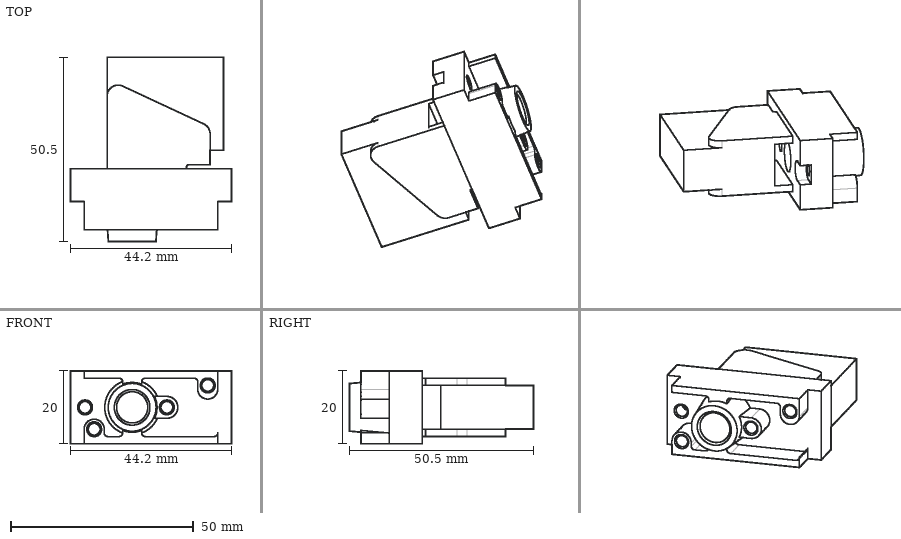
import cadquery as cq
import math


flange_width = 44.2
flange_left = -16.95
flange_right = flange_left + flange_width
flange_center = (flange_left + flange_right) / 2
flange_depth = 9.1
height = 20.0
side_step = 3.8
rim_depth = 7.7
rim_left = flange_left + side_step
rim_right = flange_right - side_step
rim_wall = 2.0
flange_front = -flange_depth
rim_front = flange_front - rim_depth
pocket_half_height = height / 2 - rim_wall
pocket_corner_radius = 1.0

tube_overhang = 3.2
tube_front = rim_front - tube_overhang
tube_length = flange_front - tube_front
tube_tip_radius = 6.55
tube_draft = math.radians(5)
tube_root_radius = tube_tip_radius + tube_length * math.tan(tube_draft)
bore_diameter = 8.57
bore_chamfer = 0.6
rib_width = 5.2

hole_diameter = 3.24
hole_chamfer = 0.4
drill_point_angle = math.radians(118)
blind_hole_depth = 10.0

post_radius = 2.75
post_x_offset = (rim_right - rim_left) / 2 - post_radius
post_hole_z = 6.0
left_post_x = flange_center - post_x_offset
right_post_x = flange_center + post_x_offset
left_post_end_z = -post_hole_z
right_post_end_z = 5.0

lug_x = 9.5
lug_radius = 3.0

flange_hole_inset = 4.05
flange_hole_x = flange_left + flange_hole_inset
head_slot_width = 5.5
head_slot_depth = 3.1

rear_left = -6.85
block_width = 31.9
block_height = 12.0
block_front = 5.0
block_back = 30.5
cheek_width = 28.2
cheek_right = rear_left + cheek_width
cheek_span = 16.0
cheek_slope = math.radians(25)
cheek_right_length = 11.4
cheek_left_length = cheek_right_length + cheek_width * math.tan(cheek_slope)
cheek_corner_radius = 3.0
relief_left = 14.95
relief_depth = 1.0
relief_corner_radius = 0.5


def box(x_range, y_range, z_range):
    """Axis-aligned box between pairs of limits."""
    lower, upper = zip(x_range, y_range, z_range)
    size = [high - low for low, high in zip(lower, upper)]
    return cq.Workplane("XY").box(*size, centered=False).translate(lower)


def cone_y(x, z, y_start, y_end, radius_start, radius_end):
    """Cone frustum or full cone along +Y; its end radius may be zero."""
    solid = cq.Solid.makeCone(
        radius_start, radius_end, y_end - y_start, cq.Vector(x, y_start, z), cq.Vector(0, 1, 0)
    )
    return cq.Workplane(solid)


def cylinder_y(x, z, y_start, y_end, radius):
    """Cylinder along +Y."""
    solid = cq.Solid.makeCylinder(radius, y_end - y_start, cq.Vector(x, y_start, z), cq.Vector(0, 1, 0))
    return cq.Workplane(solid)


def chamfered_hole(x, z, y_mouth, y_end, diameter, chamfer):
    """Cutter for a hole that enters at y_mouth and runs towards +Y."""
    radius = diameter / 2
    mouth = cone_y(x, z, y_mouth, y_mouth + chamfer, radius + chamfer, radius)
    return cylinder_y(x, z, y_mouth, y_end, radius).union(mouth)


def blind_hole(x, z, y_mouth):
    """Cutter for a chamfered blind hole with a drill point."""
    y_end = y_mouth + blind_hole_depth
    radius = hole_diameter / 2
    point_length = radius / math.tan(drill_point_angle / 2)
    point = cone_y(x, z, y_end, y_end + point_length, radius, 0)
    return chamfered_hole(x, z, y_mouth, y_end, hole_diameter, hole_chamfer).union(point)


def make_post(x, end_z, outer_z):
    """Screw post with a round inner end, running out to the rim edge at outer_z."""
    round_end = cylinder_y(x, end_z, rim_front, flange_front, post_radius)
    z_range = sorted((end_z, outer_z))
    stem = box((x - post_radius, x + post_radius), (rim_front, flange_front), z_range)
    return stem.union(round_end)


def pocket_corner(x, z, side_x, side_z):
    """Fillet wedge for a pocket corner at (x, z); the pocket lies towards side_x, side_z."""
    x_range = sorted((x, x + side_x * pocket_corner_radius))
    z_range = sorted((z, z + side_z * pocket_corner_radius))
    wedge = box(x_range, (rim_front, flange_front), z_range)
    center_x = x + side_x * pocket_corner_radius
    center_z = z + side_z * pocket_corner_radius
    return wedge.cut(cylinder_y(center_x, center_z, rim_front, flange_front, pocket_corner_radius))


def make_rim():
    """Top and bottom walls with the ribs, posts and filleted pocket corners between them."""
    y_range = (rim_front, flange_front)
    rim = make_post(left_post_x, left_post_end_z, -height / 2)
    rim = rim.union(make_post(right_post_x, right_post_end_z, height / 2))
    for side in (1, -1):
        wall_range = sorted((side * pocket_half_height, side * height / 2))
        rib_range = sorted((0, side * height / 2))
        rim = rim.union(box((rim_left, rim_right), y_range, wall_range))
        rim = rim.union(box((-rib_width / 2, rib_width / 2), y_range, rib_range))
        for outward in (1, -1):
            rim = rim.union(pocket_corner(outward * rib_width / 2, side * pocket_half_height, outward, -side))
    rim = rim.union(pocket_corner(left_post_x + post_radius, -pocket_half_height, 1, 1))
    rim = rim.union(pocket_corner(right_post_x - post_radius, pocket_half_height, -1, -1))
    return rim.union(pocket_corner(rim_right, -pocket_half_height, -1, 1))


def make_lug():
    """Round-ended lug joined to the side of the tube."""
    round_end = cylinder_y(lug_x, 0, rim_front, flange_front, lug_radius)
    stem = box((0, lug_x), (rim_front, flange_front), (-lug_radius, lug_radius))
    return stem.union(round_end)


def make_head_slot():
    """Cutter for the round-ended screw-head slot, open to the left end of the flange."""
    slot_radius = head_slot_width / 2
    round_end = cylinder_y(flange_hole_x, 0, -head_slot_depth, 0, slot_radius)
    opening = box((flange_left, flange_hole_x), (-head_slot_depth, 0), (-slot_radius, slot_radius))
    return opening.union(round_end)


def make_rear():
    """Cheeks with a sloping rear edge, the block between them and the gap behind the flange."""
    cheeks = (
        cq.Workplane("XY")
        .workplane(offset=-cheek_span / 2)
        .moveTo(rear_left, 0)
        .lineTo(rear_left, cheek_left_length)
        .lineTo(cheek_right, cheek_right_length)
        .lineTo(cheek_right, 0)
        .close()
        .extrude(cheek_span)
        .edges("|Z")
        .edges(">Y or (>X and (not <Y))")
        .fillet(cheek_corner_radius)
    )
    relief = box((relief_left, cheek_right), (0, relief_depth), (-cheek_span / 2, cheek_span / 2))
    relief = relief.edges("|Z and <X and >Y").fillet(relief_corner_radius)
    z_range = (-block_height / 2, block_height / 2)
    gap = box((rear_left, cheek_right), (0, block_front), z_range)
    block = box((rear_left, rear_left + block_width), (block_front, block_back), z_range)
    return cheeks.cut(relief).cut(gap).union(block)


flange = box((flange_left, flange_right), (flange_front, 0), (-height / 2, height / 2))
tube = cone_y(0, 0, tube_front, flange_front, tube_tip_radius, tube_root_radius)

result = flange.union(make_rim()).union(make_lug()).union(tube).union(make_rear())

result = result.cut(chamfered_hole(0, 0, tube_front, 0, bore_diameter, bore_chamfer))
result = result.cut(chamfered_hole(lug_x, 0, rim_front, 0, hole_diameter, hole_chamfer))
result = result.cut(chamfered_hole(flange_hole_x, 0, flange_front, 0, hole_diameter, hole_chamfer))
result = result.cut(make_head_slot())
result = result.cut(blind_hole(left_post_x, -post_hole_z, rim_front))
result = result.cut(blind_hole(right_post_x, post_hole_z, rim_front))